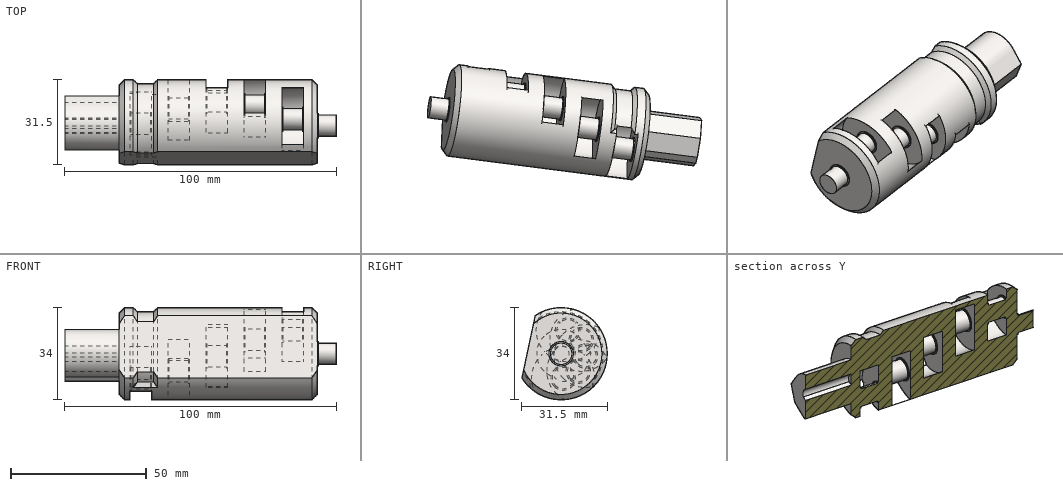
import cadquery as cq
import math

stub_length = 20.0
body_length = 73.0
body_end = stub_length + body_length
total_length = 100.0

body_radius = 17.0
body_chamfer = 2.0
flat_tilt = 12.0
flat_distance = 12.3

stub_radius = 9.0
lobe_tip = (11.0, 0.2)
lobe_corners = [(8.6, -6.6), (2.2, -10.2), (-1.0, -10.2)]
lobe_end_y = -2.5
hole_radius = 2.9
hole_flat_distance = 2.4
hole_flat_tilt = 30.0

groove_start = 25.2
groove_depth = 1.5
groove_floor_width = 6.0
land_half_width = 11.5

pocket_count = 5
pocket_first_x = 24.0
pocket_pitch = 14.0
pocket_width = 8.0
pocket_radius = 11.6
pocket_center_radius = 9.0
pocket_first_angle = 175.4
pocket_angle_step = -40.0

pin_radius = 7.9 / 2
collar_radius = 9.0 / 2
collar_width = 0.4


def rod(start, length, radius, center=(0, 0)):
    """Cylinder along +X whose axis passes through the (Y, Z) center."""
    return cq.Workplane("YZ", origin=(start, 0, 0)).center(*center).circle(radius).extrude(length)


def direction(angle):
    """Unit (Y, Z) vector at an angle in degrees, measured from +Z toward +Y."""
    turn = math.radians(angle)
    return math.sin(turn), math.cos(turn)


def beyond_flat(start, length, distance, angle, size):
    """Block filling everything past a flat at the given distance and direction."""
    block = cq.Workplane("XY").box(length, size, size, centered=(False, True, False))
    block = block.translate((start, 0, distance))
    return block.rotate((0, 0, 0), (1, 0, 0), -angle)


def make_body():
    body = rod(stub_length, body_length, body_radius).faces("<X or >X").chamfer(body_chamfer)
    flat_angle = flat_tilt - 90
    return body.cut(beyond_flat(stub_length, body_length, flat_distance, flat_angle, 3 * body_radius))


def make_stub():
    tip_distance = math.hypot(*lobe_tip)
    tangent_angle = math.atan2(lobe_tip[1], lobe_tip[0]) + math.acos(stub_radius / tip_distance)
    tangent = (stub_radius * math.cos(tangent_angle), stub_radius * math.sin(tangent_angle))
    lobe_end = (lobe_end_y, -math.sqrt(stub_radius**2 - lobe_end_y**2))
    outline = cq.Workplane("YZ").moveTo(*tangent).lineTo(*lobe_tip)
    for corner in lobe_corners:
        outline = outline.lineTo(*corner)
    outline = outline.lineTo(*lobe_end).threePointArc((-stub_radius, 0), tangent).close()
    return outline.extrude(stub_length)


def make_hole():
    """D-shaped bore running the length of the stub."""
    bore = rod(0, stub_length, hole_radius)
    flat_angle = 180 - hole_flat_tilt
    return bore.cut(beyond_flat(0, stub_length, hole_flat_distance, flat_angle, 3 * hole_radius))


def make_groove():
    floor_radius = body_radius - groove_depth
    floor_start = groove_start + groove_depth
    floor_end = floor_start + groove_floor_width
    outer_radius = body_radius + groove_depth
    profile = [
        (floor_start, floor_radius),
        (floor_end, floor_radius),
        (floor_end + 2 * groove_depth, outer_radius),
        (floor_start - 2 * groove_depth, outer_radius),
    ]
    ring = cq.Workplane("XZ").polyline(profile).close().revolve(360, (0, 0, 0), (1, 0, 0))
    land = cq.Workplane("XY").box(
        body_length, 2 * land_half_width, outer_radius, centered=(False, True, False)
    )
    return ring.cut(land.translate((stub_length, 0, -outer_radius)))


def make_pocket(index):
    """Disc-shaped cut around a collared pivot pin."""
    start = pocket_first_x + index * pocket_pitch
    y, z = direction(pocket_first_angle + index * pocket_angle_step)
    center = (pocket_center_radius * y, pocket_center_radius * z)
    pocket = rod(start, pocket_width, pocket_radius, center)
    pocket = pocket.cut(rod(start, pocket_width, pin_radius, center))
    for collar_start in (start, start + pocket_width - collar_width):
        pocket = pocket.cut(rod(collar_start, collar_width, collar_radius, center))
    return pocket


def make_end_pin():
    pin = rod(body_end, total_length - body_end, pin_radius)
    return pin.union(rod(body_end, collar_width, collar_radius))


result = make_body().cut(make_groove())
for index in range(pocket_count):
    result = result.cut(make_pocket(index))
result = result.union(make_stub()).cut(make_hole()).union(make_end_pin())